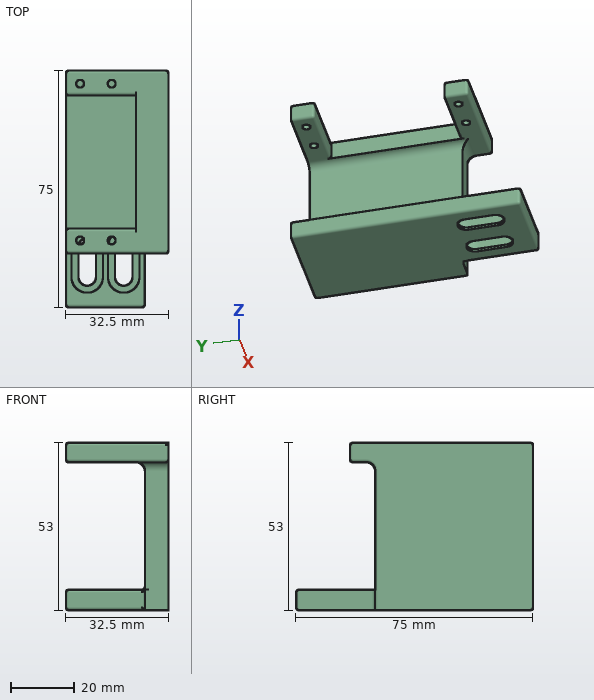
import cadquery as cq

width = 32.5
length = 75.0
height = 53.0

base_thickness = 6.5
base_width = 25.0
top_thickness = 6.2
top_length = 58.0
arm_width = 7.95
opening_depth = 22.1

edge_radius = 1.0
under_top_radius = 2.8

hole_diameter = 2.5
hole_end_offset = 4.5
hole_spacing = 10.0
hole_side_offset = 4.2

slot_width = 5.5
pocket_width = 10.0
pocket_depth = 5.55
slot_travel = 9.6
slot_first_y = 9.7
slot_x_positions = (6.75, 18.3)

top_start_y = length - top_length
top_underside = height - top_thickness
wall_start_y = top_start_y + arm_width
opening_end_y = length - arm_width
tolerance = 0.01


def block(x_range, y_range, z_range):
    """Axis-aligned box between pairs of limits."""
    (x0, x1), (y0, y1), (z0, z1) = x_range, y_range, z_range
    return cq.Workplane("XY").box(x1 - x0, y1 - y0, z1 - z0, centered=False).translate((x0, y0, z0))


def edges_along(body, start, end):
    """Straight edges lying inside the thin box that runs from start to end."""
    low = [min(a, b) - tolerance for a, b in zip(start, end)]
    high = [max(a, b) + tolerance for a, b in zip(start, end)]

    def inside(edge):
        box = edge.BoundingBox(tolerance)
        lows = (box.xmin, box.ymin, box.zmin)
        highs = (box.xmax, box.ymax, box.zmax)
        margin = 2 * tolerance
        above = all(value > limit - margin for limit, value in zip(low, lows))
        below = all(value < limit + margin for limit, value in zip(high, highs))
        return above and below

    return [edge for edge in body.Edges() if inside(edge)]


def round_edges(body, radius, lines):
    """Fillet every edge found along the given start-end lines."""
    edges = [edge for start, end in lines for edge in edges_along(body, start, end)]
    return body.fillet(radius, edges)


def bracket_body():
    """Base, wall and top plate joined, with the opening between the two arms."""
    base = block((0, base_width), (0, length), (0, base_thickness))
    wall = block((base_width, width), (wall_start_y, length), (0, height))
    top = block((0, width), (top_start_y, length), (top_underside, height))
    opening = block((0, opening_depth), (wall_start_y, opening_end_y), (top_underside, height))
    return base.union(wall).union(top).cut(opening).clean().val()


def round_under_top(body):
    """Large concave fillet where the wall meets the top plate."""
    corner = (base_width, wall_start_y, top_underside)
    return round_edges(body, under_top_radius, [
        (corner, (base_width, length, top_underside)),
        (corner, (width, wall_start_y, top_underside)),
    ])


def round_small_edges(body):
    """Small fillets at the base-wall corners and on the outer edges."""
    lines = [
        ((base_width, wall_start_y, base_thickness), (base_width, length, base_thickness)),
        ((0, 0, 0), (0, length, 0)),
        ((0, 0, base_thickness), (0, length, base_thickness)),
        ((0, 0, 0), (base_width, 0, 0)),
        ((0, 0, base_thickness), (base_width, 0, base_thickness)),
        ((0, 0, 0), (0, 0, base_thickness)),
        ((base_width, 0, 0), (base_width, 0, base_thickness)),
        ((width, wall_start_y, 0), (width, wall_start_y, top_underside)),
        ((width, top_start_y, top_underside), (width, top_start_y, height)),
        ((0, length, 0), (width, length, height)),
    ]
    for y in (top_start_y, wall_start_y, opening_end_y):
        side_end = width if y == top_start_y else opening_depth
        for z in (top_underside, height):
            lines.append(((0, y, z), (side_end, y, z)))
    lines.append(((0, top_start_y, top_underside), (0, length, height)))
    return round_edges(body, edge_radius, lines)


def round_base_side_corner(body):
    """Upright concave fillet where the side of the base runs into the end of the wall."""
    foot = (base_width, wall_start_y, 0)
    return round_edges(body, edge_radius, [(foot, (base_width, wall_start_y, base_thickness))])


def cut_arm_holes(part):
    """Two through holes in each arm."""
    points = [
        (hole_end_offset + i * hole_spacing, y)
        for i in range(2)
        for y in (top_start_y + hole_side_offset, length - hole_side_offset)
    ]
    drill = cq.Workplane("XY", origin=(0, 0, top_underside)).pushPoints(points)
    return part.cut(drill.circle(hole_diameter / 2).extrude(top_thickness))


def slot_cutter(x, slot_size, bottom, depth):
    """Round-ended slot along Y."""
    centre_y = slot_first_y + slot_travel / 2
    plane = cq.Workplane("XY", origin=(x, centre_y, bottom))
    return plane.slot2D(slot_travel + slot_size, slot_size, 90).extrude(depth)


def cut_base_slots(part):
    """Narrow through slots below wide pockets."""
    for x in slot_x_positions:
        part = part.cut(slot_cutter(x, slot_width, 0, base_thickness))
        part = part.cut(slot_cutter(x, pocket_width, base_thickness - pocket_depth, pocket_depth))
    return part


bracket = round_base_side_corner(bracket_body())
bracket = round_under_top(bracket)
bracket = round_small_edges(bracket)
result = cut_base_slots(cut_arm_holes(cq.Workplane(obj=bracket)))